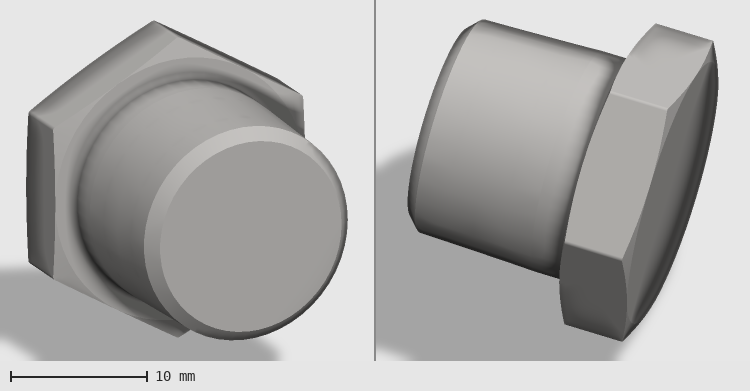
import cadquery as cq
import math


corner_span = 23.0
corner_radius = 0.3
head_length = 5.27
head_chamfer_angle = 15.0

corner_loss = corner_radius * (1 / math.cos(math.radians(30)) - 1)
sharp_corner_span = corner_span + 2 * corner_loss
across_flats = sharp_corner_span * math.cos(math.radians(30))

total_length = 18.0
neck_diameter = 16.88
neck_fillet = 0.44
taper_start = 7.98
taper_ratio = 1 / 16
tip_chamfer = 0.9

neck_radius = neck_diameter / 2
taper_end = total_length - tip_chamfer
taper_end_radius = neck_radius - (taper_end - taper_start) * taper_ratio / 2
tip_radius = taper_end_radius - tip_chamfer


def revolve_about_x(profile):
    """Turn a closed XY profile a full circle about the X axis."""
    return profile.close().revolve(360, (0, 0, 0), (1, 0, 0))


def make_head():
    """Hexagon with corners up and down, rounded edges and both faces chamfered by cones."""
    prism = (
        cq.Workplane("YZ")
        .polygon(6, sharp_corner_span)
        .extrude(head_length)
        .edges("|X")
        .fillet(corner_radius)
        .rotate((0, 0, 0), (1, 0, 0), 90)
    )
    face_radius = across_flats / 2
    outer_radius = sharp_corner_span / 2
    chamfer_depth = (outer_radius - face_radius) * math.tan(math.radians(head_chamfer_angle))
    turned_blank = revolve_about_x(
        cq.Workplane("XY")
        .lineTo(0, face_radius)
        .lineTo(chamfer_depth, outer_radius)
        .lineTo(head_length - chamfer_depth, outer_radius)
        .lineTo(head_length, face_radius)
        .lineTo(head_length, 0)
    )
    return prism.intersect(turned_blank)


def make_shank():
    """Filleted neck, short cylinder, slight taper and chamfered tip, rooted inside the head."""
    root = head_length / 2
    return revolve_about_x(
        cq.Workplane("XY")
        .moveTo(root, 0)
        .lineTo(root, neck_radius + neck_fillet)
        .lineTo(head_length, neck_radius + neck_fillet)
        .radiusArc((head_length + neck_fillet, neck_radius), -neck_fillet)
        .lineTo(taper_start, neck_radius)
        .lineTo(taper_end, taper_end_radius)
        .lineTo(total_length, tip_radius)
        .lineTo(total_length, 0)
    )


result = make_head().union(make_shank())